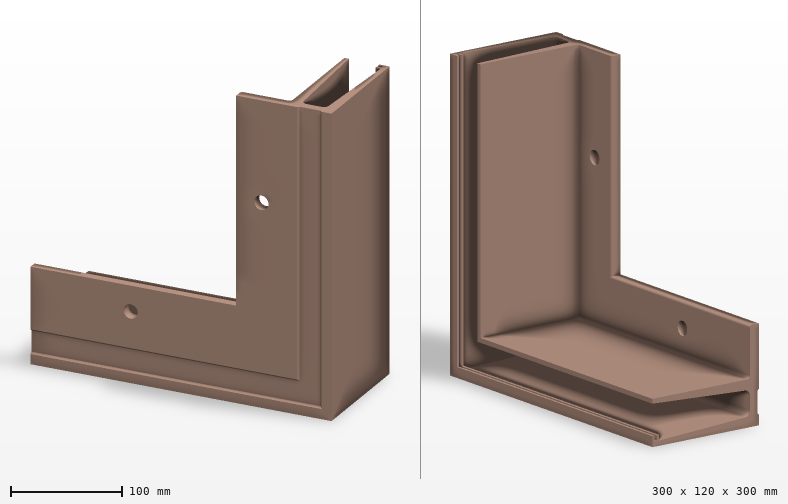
import cadquery as cq
import math

leg_length = 300.0
depth = 120.0
flange_width = 95.0
flange_thickness = 10.2
flange_tip_radius = 2.5

inner_wall_face = 45.0
outer_wall_edge = 4.5
inner_wall_edge = 4.5
channel_draft = 3.0
channel_floor_radius = 5.5
inner_corner_radius = 3.0

lip_height = 10.2
lip_depth = 7.5
lip_groove_width = lip_depth / 3
lip_groove_floor = 5.7

recess_start = 10.0
recess_end = 34.2
recess_depth = 1.8

hole_diameter = 14.0
hole_from_outer_side = 70.0
hole_from_leg_end = 100.0

back = depth / 2
front = -depth / 2
outer = leg_length / 2


def profile_block(points):
    """Extrude a (Y, distance from outer side) outline along the whole horizontal leg."""
    outline = [(y, inward - outer) for y, inward in points]
    return cq.Workplane("YZ", origin=(-outer, 0, 0)).polyline(outline).close().extrude(leg_length)


def rectangle_block(y_start, y_end, inward_start, inward_end):
    """Extrude a rectangular profile along the whole horizontal leg."""
    return profile_block([
        (y_start, inward_start),
        (y_end, inward_start),
        (y_end, inward_end),
        (y_start, inward_end),
    ])


def frame_walls():
    """Front flange with the space behind it cleared, leaving the channel section solid."""
    flange_back = front + flange_thickness
    walls = profile_block([
        (front, 0),
        (back, 0),
        (back, inner_wall_face),
        (flange_back, inner_wall_face),
        (flange_back, flange_width),
        (front, flange_width),
    ])
    inner_corner = (0, flange_back, inner_wall_face - outer)
    flange_tip = (0, flange_back, flange_width - outer)
    walls = walls.edges(cq.NearestToPointSelector(inner_corner)).fillet(inner_corner_radius)
    return walls.edges(cq.NearestToPointSelector(flange_tip)).fillet(flange_tip_radius)


def channel():
    """Tapered channel open at the back, with a rounded floor."""
    floor = front + flange_thickness
    taper = (back - floor) * math.tan(math.radians(channel_draft))
    channel_end = inner_wall_face - inner_wall_edge
    cavity = profile_block([
        (back, outer_wall_edge),
        (back, channel_end),
        (floor, channel_end - taper),
        (floor, outer_wall_edge + taper),
    ])
    return cavity.faces("<Y").edges("|X").fillet(channel_floor_radius)


def lip():
    """Lip thickening the back edge of the outer wall, with one groove along it."""
    lip_front = back - lip_depth
    groove_front = lip_front + lip_groove_width
    block = rectangle_block(lip_front, back, 0, lip_height)
    groove = rectangle_block(
        groove_front, groove_front + lip_groove_width, lip_groove_floor, lip_height
    )
    return block.cut(groove)


def front_recess():
    """Shallow front recess with 45-degree bevels along both sides."""
    return profile_block([
        (front, recess_start),
        (front + recess_depth, recess_start + recess_depth),
        (front + recess_depth, recess_end - recess_depth),
        (front, recess_end),
    ])


def mounting_hole():
    """Round hole through the front flange."""
    return (
        cq.Workplane("XZ", origin=(0, back, 0))
        .center(hole_from_leg_end - outer, hole_from_outer_side - outer)
        .circle(hole_diameter / 2)
        .extrude(depth)
    )


def mitre_half():
    """Half of the square envelope below the diagonal through the outer corner."""
    return (
        cq.Workplane("XZ", origin=(0, back, 0))
        .polyline([(-outer, -outer), (outer, -outer), (-outer, outer)])
        .close()
        .extrude(depth)
    )


def make_horizontal_leg():
    """Horizontal leg, mitred at the outer corner."""
    section = frame_walls().cut(channel()).union(lip()).cut(front_recess())
    return section.cut(mounting_hole()).intersect(mitre_half())


def make_vertical_leg():
    """Vertical leg, the mirror image of the horizontal leg across the mitre plane."""
    return make_horizontal_leg().mirror(cq.Vector(1, 0, 1))


horizontal_leg = make_horizontal_leg()
vertical_leg = make_vertical_leg()

result = cq.Compound.makeCompound([horizontal_leg.solids().val(), vertical_leg.solids().val()])